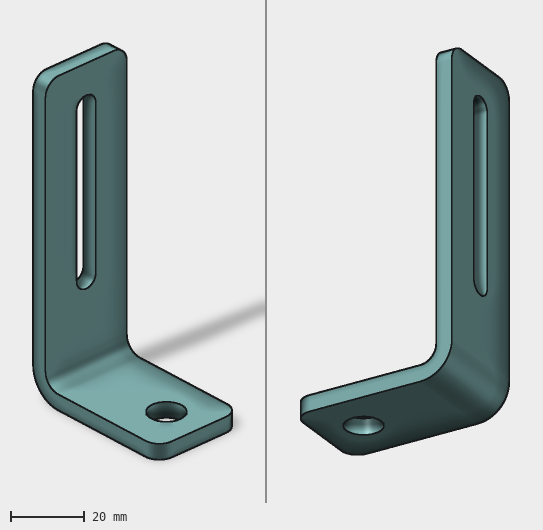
import cadquery as cq

foot_length = 50.0
width = 30.0
height = 100.0
thickness = 5.0

inner_bend_radius = 5.0
outer_bend_radius = inner_bend_radius + thickness
corner_radius = 5.0

slot_width = 7.0
slot_length = 60.0
slot_top_margin = 10.0
slot_center_z = height - slot_top_margin - slot_length / 2

hole_diameter = 11.0
hole_x = 37.0


def bent_strip():
    """L profile extruded across the width, centred on Y = 0, then bent at the heel."""
    strip = (
        cq.Workplane("XZ")
        .polyline([
            (0, 0),
            (foot_length, 0),
            (foot_length, thickness),
            (thickness, thickness),
            (thickness, height),
            (0, height),
        ])
        .close()
        .extrude(width / 2, both=True)
    )
    strip = strip.edges(cq.selectors.NearestToPointSelector((0, 0, 0))).fillet(outer_bend_radius)
    inner_corner = cq.selectors.NearestToPointSelector((thickness, 0, thickness))
    return strip.edges(inner_corner).fillet(inner_bend_radius)


def round_free_corners(body):
    """Round the two corners at the end of each leg."""
    body = body.faces(">X").edges("|Z").fillet(corner_radius)
    return body.faces(">Z").edges("|X").fillet(corner_radius)


def slot_cutter():
    """Vertical round-ended slot through the upright leg."""
    return (
        cq.Workplane("YZ")
        .center(0, slot_center_z)
        .slot2D(slot_length, slot_width, 90)
        .extrude(thickness)
    )


def hole_cutter():
    """Round hole through the foot."""
    return cq.Workplane("XY").center(hole_x, 0).circle(hole_diameter / 2).extrude(thickness)


result = round_free_corners(bent_strip()).cut(slot_cutter()).cut(hole_cutter())